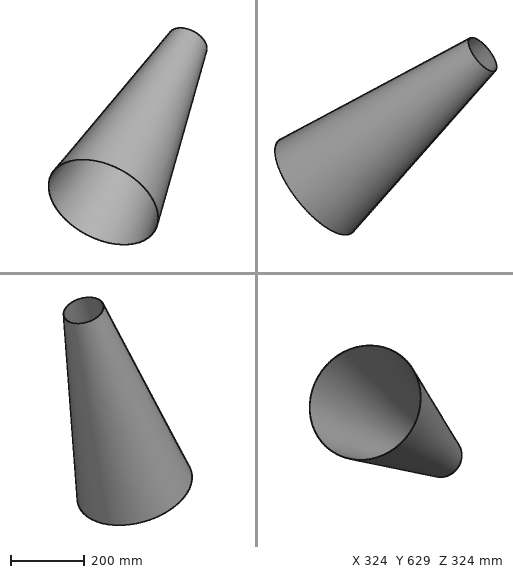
import cadquery as cq

length = 629.0
wide_diameter = 324.0
narrow_diameter = 114.5
wall = 2.0

wide_radius = wide_diameter / 2
narrow_radius = narrow_diameter / 2

wall_section = (
    cq.Workplane("XY")
    .moveTo(wide_radius - wall, 0)
    .lineTo(wide_radius, 0)
    .lineTo(narrow_radius, length)
    .lineTo(narrow_radius - wall, length)
    .close()
)

result = wall_section.revolve(360, (0, 0, 0), (0, 1, 0))